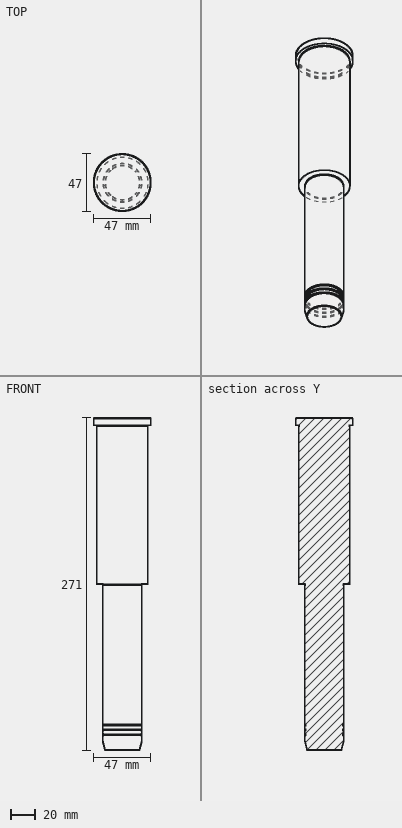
import cadquery as cq

total_length = 271.0
edge_chamfer = 0.5

head_diameter = 47.0
head_thickness = 6.0
body_diameter = 42.0
body_bottom_z = 135.5
shank_diameter = 32.0

relief_width = 1.0
relief_depth = 0.3

groove_count = 3
groove_pitch = 4.0
groove_width = 1.0
groove_depth = 0.5
lowest_groove_center_z = 12.5

lead_in_height = 7.0
lead_in_inset = 1.73

head_radius = head_diameter / 2
body_radius = body_diameter / 2
shank_radius = shank_diameter / 2
tip_radius = shank_radius - lead_in_inset
head_bottom_z = total_length - head_thickness


def stepped_pin():
    """Solid of revolution about Z: lead-in, shank, guide body and head."""
    profile = [
        (0, 0),
        (tip_radius - edge_chamfer, 0),
        (tip_radius, edge_chamfer),
        (shank_radius, lead_in_height),
        (shank_radius, body_bottom_z),
        (body_radius, body_bottom_z),
        (body_radius, head_bottom_z),
        (head_radius, head_bottom_z),
        (head_radius, total_length - edge_chamfer),
        (head_radius - edge_chamfer, total_length),
        (0, total_length),
    ]
    return cq.Workplane("XZ").polyline(profile).close().revolve(360, (0, 0, 0), (0, 1, 0))


def groove_ring(radius, depth, width, bottom_z):
    """Ring of material that cuts a groove into a cylinder of the given radius."""
    return (
        cq.Workplane("XY", origin=(0, 0, bottom_z))
        .circle(radius)
        .circle(radius - depth)
        .extrude(width)
    )


result = stepped_pin()

for radius, shoulder_z in ((body_radius, head_bottom_z), (shank_radius, body_bottom_z)):
    result = result.cut(groove_ring(radius, relief_depth, relief_width, shoulder_z - relief_width))

for index in range(groove_count):
    center_z = lowest_groove_center_z + index * groove_pitch
    bottom_z = center_z - groove_width / 2
    result = result.cut(groove_ring(shank_radius, groove_depth, groove_width, bottom_z))